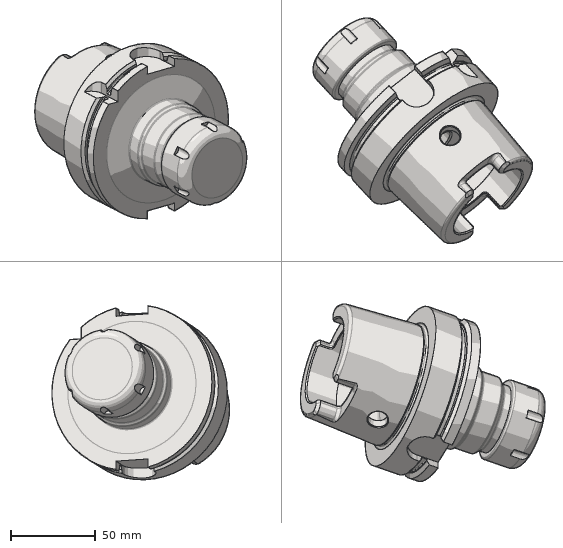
import cadquery as cq
import math

overall_length = 135.0

shank_front_radius = 35.5
shank_back_radius = 38.0
shank_length = 47.2
shank_nose_fillet = 1.9
relief_radius = 37.5
relief_start = 47.9
relief_fillet = 1.1
relief_rim_radius = 39.7

flange_diameter = 100.0
flange_radius = flange_diameter / 2
flange_start = 49.7
flange_end = 79.0
groove_floor_radius = 45.9
groove_mouth_start = 66.7
groove_wall_start = 67.9
groove_wall_end = 71.5
groove_mouth_end = 73.2
groove_flank_angle = 30.0
groove_floor_fillet = 0.7

back_cone_radius = 40.1
back_cone_end = 82.6
back_cone_fillet = 0.5
collar_radius = 25.9
collar_end = 91.0
body_radius = 24.2
body_end = 104.8
neck_radius = 21.0
step_fillet = 1.0

bore_radius = 26.5
bore_depth = 20.0
bore_chamfer = 0.8
cavity_radius = 31.6
cavity_floor = 47.4
cavity_floor_fillet = 6.9
center_hole_radius = 11.3
center_hole_depth = 20.2
center_hole_chamfer = 1.0

cross_hole_position = 34.8
cross_hole_radius = 6.0
cross_hole_chamfer = 0.5

drive_slot_half_width = 10.0
drive_slot_depth_top = 10.0
drive_slot_depth_bottom = 14.7
drive_slot_shoulder_height = 32.0
drive_slot_corner_radius = 5.0
drive_slot_edge = 2.0
drive_slot_mouth_angle = 45.0
drive_slot_inner_chamfer = 0.5

keyway_half_width = 10.0
keyway_start = 55.1
keyway_floor_height = 44.0
notch_offset = 31.7
notch_start = 55.1
notch_corner_radius = 7.5

nut_radius = 25.0
nut_start = 112.3
nut_back_fillet = 1.1
nut_front_fillet = 6.2
wrench_slot_count = 6
wrench_slot_start = 122.7
wrench_slot_radius = 2.7
wrench_slot_axis_radius = 25.6
wrench_slot_first_angle = 30.0


def revolve_about_x(profile):
    """Turn a closed (x, radius) profile about the X axis."""
    return profile.close().revolve(360, (0, 0, 0), (1, 0, 0))


def round_rim(body, x, radius, fillet):
    """Fillet the circular edge of the given radius lying in the plane at x."""
    tolerance = 0.01
    rims = [
        edge
        for edge in body.edges("%CIRCLE").vals()
        if abs(edge.arcCenter().x - x) < tolerance and abs(edge.radius() - radius) < tolerance
    ]
    return body.newObject(rims).fillet(fillet)


def make_holder_blank():
    """Turned outside of the holder: shank, flange with groove, and stepped neck."""
    groove_flank_slope = 1 / math.tan(math.radians(groove_flank_angle))
    front_wall_radius = flange_radius - (groove_wall_start - groove_mouth_start) * groove_flank_slope
    back_wall_radius = flange_radius - (groove_mouth_end - groove_wall_end) * groove_flank_slope
    relief_end = flange_start + relief_rim_radius - relief_radius - relief_fillet
    collar_step_end = collar_end + collar_radius - body_radius
    body_step_end = body_end + body_radius - neck_radius

    profile = (
        cq.Workplane("XY")
        .moveTo(0, 0)
        .lineTo(0, shank_front_radius)
        .lineTo(shank_length, shank_back_radius)
        .lineTo(relief_start, relief_radius)
        .lineTo(relief_end, relief_radius)
        .lineTo(flange_start, relief_rim_radius)
        .lineTo(flange_start, flange_radius)
        .lineTo(groove_mouth_start, flange_radius)
        .lineTo(groove_wall_start, front_wall_radius)
        .lineTo(groove_wall_start, groove_floor_radius)
        .lineTo(groove_wall_end, groove_floor_radius)
        .lineTo(groove_wall_end, back_wall_radius)
        .lineTo(groove_mouth_end, flange_radius)
        .lineTo(flange_end, flange_radius)
        .lineTo(flange_end, back_cone_radius)
        .lineTo(back_cone_end, collar_radius)
        .lineTo(collar_end, collar_radius)
        .lineTo(collar_step_end, body_radius)
        .lineTo(body_end, body_radius)
        .lineTo(body_step_end, neck_radius)
        .lineTo(nut_start, neck_radius)
        .lineTo(nut_start, 0)
    )
    blank = revolve_about_x(profile)
    rounded_rims = [
        (0, shank_front_radius, shank_nose_fillet),
        (relief_end, relief_radius, relief_fillet),
        (groove_wall_start, groove_floor_radius, groove_floor_fillet),
        (groove_wall_end, groove_floor_radius, groove_floor_fillet),
        (back_cone_end, collar_radius, back_cone_fillet),
        (collar_end, collar_radius, step_fillet),
        (collar_step_end, body_radius, step_fillet),
        (body_end, body_radius, step_fillet),
        (body_step_end, neck_radius, step_fillet),
    ]
    for x, radius, fillet in rounded_rims:
        blank = round_rim(blank, x, radius, fillet)
    return blank


def make_cavity():
    """Shank cavity: bore, wider clamping chamber with a rounded floor, and blind center hole."""
    center_hole_mouth = center_hole_radius + center_hole_chamfer
    profile = (
        cq.Workplane("XY")
        .moveTo(0, 0)
        .lineTo(0, bore_radius + bore_chamfer)
        .lineTo(bore_chamfer, bore_radius)
        .lineTo(bore_depth, bore_radius)
        .lineTo(bore_depth, cavity_radius)
        .lineTo(cavity_floor - cavity_floor_fillet, cavity_radius)
        .radiusArc((cavity_floor, cavity_radius - cavity_floor_fillet), cavity_floor_fillet)
        .lineTo(cavity_floor, center_hole_mouth)
        .lineTo(cavity_floor + center_hole_chamfer, center_hole_radius)
        .lineTo(cavity_floor + center_hole_depth, center_hole_radius)
        .lineTo(cavity_floor + center_hole_depth, 0)
    )
    return revolve_about_x(profile)


def drive_slot_profile(x):
    """Slot outline in the plane at x: straight walls that flare over rounded shoulders."""
    inner_height = bore_radius / 2
    outer_height = flange_radius
    outer_half_width = 2 * drive_slot_half_width
    arc_start_height = drive_slot_shoulder_height - drive_slot_corner_radius
    arc_end_half_width = drive_slot_half_width + drive_slot_corner_radius
    return (
        cq.Workplane("YZ", origin=(x, 0, 0))
        .moveTo(-drive_slot_half_width, inner_height)
        .lineTo(drive_slot_half_width, inner_height)
        .lineTo(drive_slot_half_width, arc_start_height)
        .radiusArc((arc_end_half_width, drive_slot_shoulder_height), drive_slot_corner_radius)
        .lineTo(outer_half_width, drive_slot_shoulder_height)
        .lineTo(outer_half_width, outer_height)
        .lineTo(-outer_half_width, outer_height)
        .lineTo(-outer_half_width, drive_slot_shoulder_height)
        .lineTo(-arc_end_half_width, drive_slot_shoulder_height)
        .radiusArc((-drive_slot_half_width, arc_start_height), drive_slot_corner_radius)
        .close()
    )


def make_drive_slot(depth):
    """Cutter for the slot on the +Z side, with a filleted floor and a chamfered mouth."""
    channel = drive_slot_profile(0).extrude(depth).faces(">X").edges().fillet(drive_slot_edge)
    mouth = drive_slot_profile(drive_slot_edge).extrude(-drive_slot_edge, taper=-drive_slot_mouth_angle)
    return channel.union(mouth)


def chamfer_drive_slot_rims(holder):
    """Chamfer the edges along which the walls and floors of the drive slots open into the bore."""
    tolerance = 0.01
    front_end = drive_slot_edge - tolerance
    back_end = drive_slot_depth_bottom + tolerance
    rim_selector = cq.selectors.BoxSelector(
        (front_end, -bore_radius, -bore_radius - tolerance),
        (back_end, bore_radius, bore_radius + tolerance),
        boundingbox=True,
    )
    rims = [
        edge
        for edge in holder.edges(rim_selector).vals()
        if abs(math.hypot(edge.positionAt(0.5).y, edge.positionAt(0.5).z) - bore_radius) < tolerance
    ]
    return holder.newObject(rims).chamfer(drive_slot_inner_chamfer)


def make_cross_hole():
    """Cutter along Z for the hole through the shank, without its edge chamfers."""
    return (
        cq.Workplane("XY", origin=(cross_hole_position, 0, -flange_radius))
        .circle(cross_hole_radius)
        .extrude(2 * flange_radius)
    )


def make_keyway():
    """Cutter for the round-ended keyway on the +Z side of the flange."""
    round_center = keyway_start + keyway_half_width
    return (
        cq.Workplane("XY", origin=(0, 0, keyway_floor_height))
        .moveTo(flange_end, -keyway_half_width)
        .lineTo(round_center, -keyway_half_width)
        .threePointArc((keyway_start, 0), (round_center, keyway_half_width))
        .lineTo(flange_end, keyway_half_width)
        .close()
        .extrude(flange_radius - keyway_floor_height)
    )


def make_orientation_notch():
    """Cutter for the notch on the -Y, +Z corner of the flange."""
    return (
        cq.Workplane("XY", origin=(0, 0, notch_offset))
        .moveTo(flange_end, -notch_offset)
        .lineTo(notch_start + notch_corner_radius, -notch_offset)
        .radiusArc((notch_start, -notch_offset - notch_corner_radius), -notch_corner_radius)
        .lineTo(notch_start, -flange_radius)
        .lineTo(flange_end, -flange_radius)
        .close()
        .extrude(flange_radius - notch_offset)
    )


def half_turn(shape):
    """Turn a shape half a revolution about X, swapping its +Z and -Z sides."""
    return shape.rotate((0, 0, 0), (1, 0, 0), 180)


def make_holder():
    """Tool holder: shank, flange and neck in one solid."""
    holder = make_holder_blank().cut(make_cavity())
    holder = holder.cut(make_cross_hole())

    hole_edges = cq.selectors.BoxSelector(
        (cross_hole_position - cross_hole_radius, -cross_hole_radius, cavity_radius + cross_hole_chamfer),
        (cross_hole_position + cross_hole_radius, cross_hole_radius, flange_radius),
    )
    for _ in range(2):
        holder = holder.edges(hole_edges).chamfer(cross_hole_chamfer)
        holder = half_turn(holder)

    holder = holder.cut(make_drive_slot(drive_slot_depth_top))
    holder = holder.cut(half_turn(make_drive_slot(drive_slot_depth_bottom)))
    holder = chamfer_drive_slot_rims(holder)
    holder = holder.cut(make_keyway())
    holder = holder.cut(half_turn(make_keyway()))
    return holder.cut(make_orientation_notch())


def make_nut():
    """Clamping nut seated against the end of the neck, with wrench slots around its rim."""
    nut = cq.Workplane("YZ", origin=(nut_start, 0, 0)).circle(nut_radius).extrude(overall_length - nut_start)
    nut = nut.edges("<X").fillet(nut_back_fillet)
    nut = nut.edges(">X").fillet(nut_front_fillet)
    for index in range(wrench_slot_count):
        angle = math.radians(wrench_slot_first_angle + index * 360 / wrench_slot_count)
        slot = (
            cq.Workplane("YZ", origin=(wrench_slot_start, 0, 0))
            .center(wrench_slot_axis_radius * math.cos(angle), wrench_slot_axis_radius * math.sin(angle))
            .circle(wrench_slot_radius)
            .extrude(overall_length - wrench_slot_start)
        )
        nut = nut.cut(slot)
    return nut


holder = make_holder()
nut = make_nut()

result = cq.Compound.makeCompound([holder.val(), nut.val()])